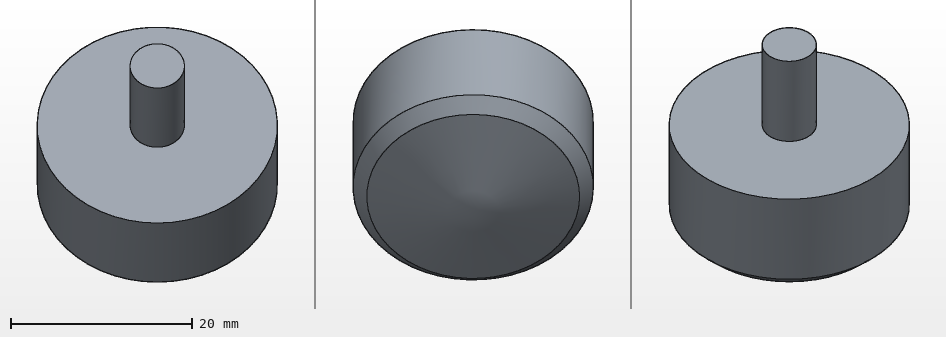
import cadquery as cq

total_height = 27.6
body_diameter = 26.5
stem_diameter = 6.0
stem_length = 11.25
tip_height = 3.5
chamfer_height = 1.57
chamfer_width = 1.52

body_radius = body_diameter / 2
stem_radius = stem_diameter / 2
tip_base_radius = body_radius - chamfer_width
chamfer_top = tip_height + chamfer_height
body_top = total_height - stem_length

half_profile = (
    cq.Workplane("XZ")
    .moveTo(0, 0)
    .lineTo(tip_base_radius, tip_height)
    .lineTo(body_radius, chamfer_top)
    .lineTo(body_radius, body_top)
    .lineTo(stem_radius, body_top)
    .lineTo(stem_radius, total_height)
    .lineTo(0, total_height)
    .close()
)

result = half_profile.revolve(360, (0, 0, 0), (0, 1, 0))